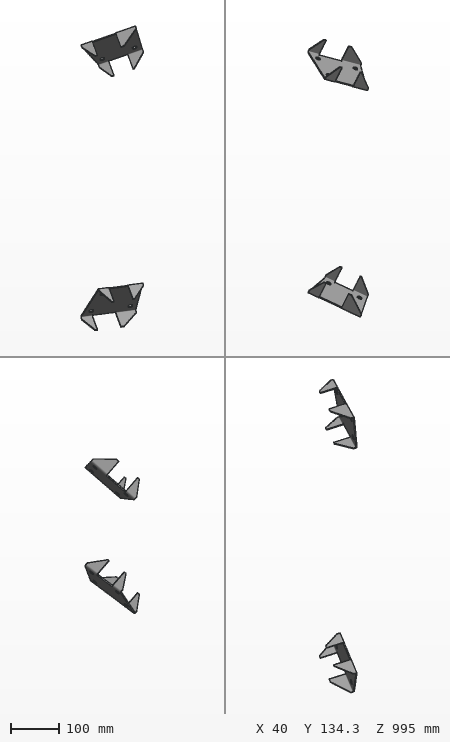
import cadquery as cq
import math


overall_height = 995.0

sheet = 3.0
inner_bend_radius = 1.5
outer_bend_radius = inner_bend_radius + sheet

upper_edge = 120.0
lower_edge = 97.5
plate_height = 84.0

tilt = 10.0
corner_y = 52.0
corner_z = overall_height / 2 - outer_bend_radius * math.cos(math.radians(tilt))

hole_diameter = 10.0
hole_inset = 15.0

tab_reach = 40.0
straight_run = 8.0
square_upper_tab = {"width": 44.0, "tip_width": 7.0}
slanted_upper_tab = {"width": 25.0, "tip_width": 5.0}
square_lower_tab = {"width": 33.0, "tip_width": 3.0}
slanted_lower_tab = {"width": 23.0, "tip_width": 5.0}


def hole_points():
    """Hole centres, each at the inset from the two edges that meet at its corner."""
    slant = math.atan2(upper_edge - lower_edge, plate_height)
    points = []
    for depth in (hole_inset, plate_height - hole_inset):
        slanted_end = upper_edge - depth * math.tan(slant)
        points.append((-hole_inset, -depth))
        points.append((-(slanted_end - hole_inset / math.cos(slant)), -depth))
    return points


def plate():
    """Flat four-sided plate with a hole near each corner."""
    outline = [(0, 0), (-upper_edge, 0), (-lower_edge, -plate_height), (0, -plate_height)]
    blank = cq.Workplane("YZ").polyline(outline).close().extrude(sheet)
    holes = cq.Workplane("YZ").pushPoints(hole_points()).circle(hole_diameter / 2).extrude(sheet)
    return blank.cut(holes)


def tab(width, tip_width):
    """Tab folded up from the edge Z = 0, its tapered side at Y = 0 and its straight side at -width."""
    folded_strip = (
        cq.Workplane("XZ")
        .moveTo(0, 0)
        .radiusArc((outer_bend_radius, outer_bend_radius), outer_bend_radius)
        .lineTo(tab_reach, outer_bend_radius)
        .lineTo(tab_reach, inner_bend_radius)
        .lineTo(outer_bend_radius, inner_bend_radius)
        .radiusArc((sheet, 0), -inner_bend_radius)
        .close()
        .extrude(width)
    )
    pointed_outline = (
        cq.Workplane("XY")
        .moveTo(0, 0)
        .lineTo(straight_run, 0)
        .lineTo(tab_reach, tip_width - width)
        .lineTo(tab_reach, -width)
        .lineTo(0, -width)
        .close()
        .extrude(outer_bend_radius)
    )
    return folded_strip.intersect(pointed_outline)


def tab_pair(square_end_tab, slanted_end_tab, edge_length):
    """The two tabs of one edge, with their tapered sides at the ends of the edge."""
    first = tab(**square_end_tab)
    second = tab(**slanted_end_tab).mirror("XZ").translate((0, -edge_length, 0))
    return first, second


def bracket():
    """Plate and its four tabs as one folded sheet, tilted into the upper place."""
    body = plate()
    for upper_tab in tab_pair(square_upper_tab, slanted_upper_tab, upper_edge):
        body = body.union(upper_tab)
    for lower_tab in tab_pair(square_lower_tab, slanted_lower_tab, lower_edge):
        body = body.union(lower_tab.mirror("XY").translate((0, 0, -plate_height)))
    return body.rotate((0, 0, 0), (1, 0, 0), tilt).translate((0, corner_y, corner_z))


upper_bracket = bracket()
lower_bracket = upper_bracket.mirror("XY")
result = cq.Compound.makeCompound([upper_bracket.val(), lower_bracket.val()])